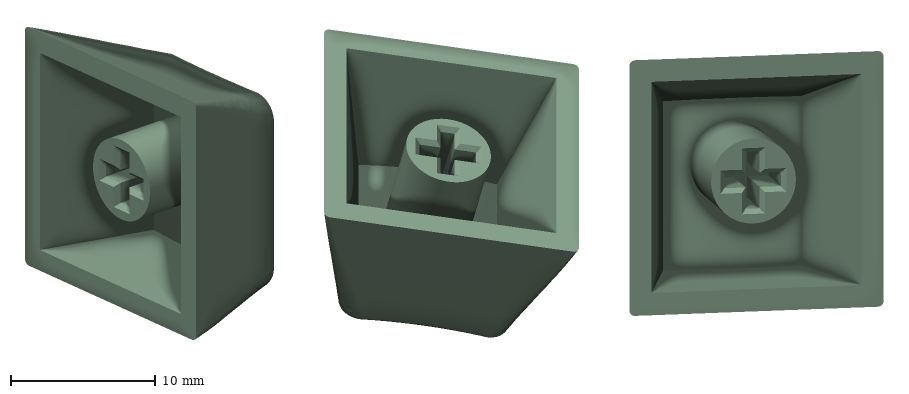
import cadquery as cq

base_size = 18.0
half_base = base_size / 2
height = 9.95
side_taper = 3.06
upper_taper = 3.55
base_corner = 0.4
top_corner = 1.8
section_count = 9
loft_height = 11.03

dish_radius = 38.52
dish_bottom = 9.54
rim_fillet = 0.36

wall = 1.57
roof = 1.58

post_diameter = 6.0
post_inset = 1.0
cross_length = 4.65
cross_width = 1.64
cross_chamfer = 0.32
chamfer_angle = 45
cross_depth = 4.5


def frame(y):
    """Sketch plane facing +Y, with local x along +X and local y along -Z."""
    return cq.Plane(origin=(0, y, 0), xDir=(1, 0, 0), normal=(0, 1, 0))


def outline(y, inset=0.0):
    """Return half width, lower Z and upper Z of the tapered shell at height y."""
    half_width = half_base - inset - side_taper * y / height
    upper = half_base - inset - upper_taper * y / height
    return half_width, inset - half_base, upper


def dish_cylinder(bottom, radius):
    """Long cylinder along Z whose lowest line in Y is at the given height."""
    center = cq.Vector(0, bottom + radius, -base_size)
    return cq.Workplane(cq.Solid.makeCylinder(radius, 2 * base_size, center))


def make_body():
    wires = []
    for i in range(section_count):
        t = i / (section_count - 1)
        y = t * loft_height
        blend = t * t * (3 - 2 * t)
        corner = base_corner + (top_corner - base_corner) * blend
        half_width, lower, upper = outline(y)
        section = cq.Sketch().rect(2 * half_width, upper - lower).vertices().fillet(corner)
        wire = section.reset().faces().val().Faces()[0].outerWire()
        middle = cq.Vector(0, -(lower + upper) / 2, 0)
        wires.append(wire.translate(middle).moved(cq.Location(frame(y))))
    body = cq.Workplane(cq.Solid.makeLoft(wires))
    body = body.cut(dish_cylinder(dish_bottom, dish_radius))
    body = body.solids("<Y")
    return body.faces(">Y").edges().fillet(rim_fillet)


def make_cavity():
    wires = []
    for y in (0, height):
        half_width, lower, upper = outline(y, wall)
        section = cq.Workplane(frame(y)).center(0, -(lower + upper) / 2)
        wires.append(section.rect(2 * half_width, upper - lower).val())
    cavity = cq.Workplane(cq.Solid.makeLoft(wires, True))
    return cavity.cut(dish_cylinder(dish_bottom - roof, dish_radius + roof)).solids("<Y")


def make_post():
    embedded_end = dish_bottom - roof / 2
    post_length = embedded_end - post_inset
    return cq.Workplane(frame(post_inset)).circle(post_diameter / 2).extrude(post_length)


def make_cross():
    length = cross_length - 2 * cross_chamfer
    width = cross_width - 2 * cross_chamfer
    cross = cq.Workplane(frame(post_inset)).rect(length, width).extrude(cross_depth)
    cross = cross.union(cq.Workplane(frame(post_inset)).rect(width, length).extrude(cross_depth))
    for size in ((cross_length, cross_width), (cross_width, cross_length)):
        bevel = cq.Workplane(frame(post_inset)).rect(*size)
        cross = cross.union(bevel.extrude(cross_chamfer, taper=chamfer_angle))
    return cross


result = make_body().cut(make_cavity()).union(make_post()).cut(make_cross())